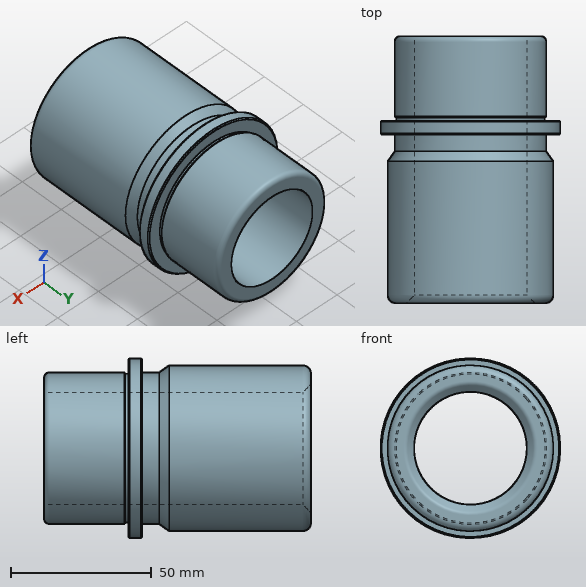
import cadquery as cq
import math


flange_width = 5.0
body_length = 60.0
spigot_length = 30.0
neck_width = 6.0
cone_width = 3.5
groove_width = 1.5

flange_radius = 32.0
body_radius = 29.5
neck_radius = 27.0
spigot_radius = 27.0
groove_depth = 0.5
bore_radius = 20.0

flange_chamfer = 0.5
body_fillet = 3.0
spigot_fillet = 2.0
mouth_chamfer = 3.0
lead_in_angle = math.radians(45)
mouth_blend = 2.0

front_y = -body_length
rear_y = flange_width + spigot_length
groove_radius = spigot_radius - groove_depth
groove_end_y = flange_width + groove_width
diagonal = math.cos(math.pi / 4)
half_lead_in = lead_in_angle / 2
mouth_depth = mouth_chamfer / math.tan(lead_in_angle)


def arc_middle(center_radius, center_y, radius, y_direction):
    """Middle of an outer corner rounding, as a (radius, y) point."""
    offset = radius * diagonal
    return (center_radius + offset, center_y + y_direction * offset)


def bushing_profile():
    """Half section in the XY plane, radius along X."""
    blend_center_radius = bore_radius + mouth_chamfer + mouth_blend * math.tan(half_lead_in)
    blend_center_y = front_y + mouth_blend
    blend_end = (
        blend_center_radius - mouth_blend * math.sin(lead_in_angle),
        blend_center_y - mouth_blend * math.cos(lead_in_angle),
    )
    blend_middle = (
        blend_center_radius - mouth_blend * math.sin(half_lead_in),
        blend_center_y - mouth_blend * math.cos(half_lead_in),
    )
    body_middle = arc_middle(body_radius - body_fillet, front_y + body_fillet, body_fillet, -1)
    spigot_middle = arc_middle(spigot_radius - spigot_fillet, rear_y - spigot_fillet, spigot_fillet, 1)

    return (
        cq.Workplane("XY")
        .moveTo(bore_radius, front_y + mouth_depth)
        .lineTo(*blend_end)
        .threePointArc(blend_middle, (blend_center_radius, front_y))
        .lineTo(body_radius - body_fillet, front_y)
        .threePointArc(body_middle, (body_radius, front_y + body_fillet))
        .lineTo(body_radius, -neck_width - cone_width)
        .lineTo(neck_radius, -neck_width)
        .lineTo(neck_radius, 0)
        .lineTo(flange_radius - flange_chamfer, 0)
        .lineTo(flange_radius, flange_chamfer)
        .lineTo(flange_radius, flange_width - flange_chamfer)
        .lineTo(flange_radius - flange_chamfer, flange_width)
        .lineTo(groove_radius, flange_width)
        .lineTo(groove_radius, groove_end_y - groove_depth)
        .lineTo(spigot_radius, groove_end_y)
        .lineTo(spigot_radius, rear_y - spigot_fillet)
        .threePointArc(spigot_middle, (spigot_radius - spigot_fillet, rear_y))
        .lineTo(bore_radius, rear_y)
        .close()
    )


result = bushing_profile().revolve(axisStart=(0, 0, 0), axisEnd=(0, 1, 0))